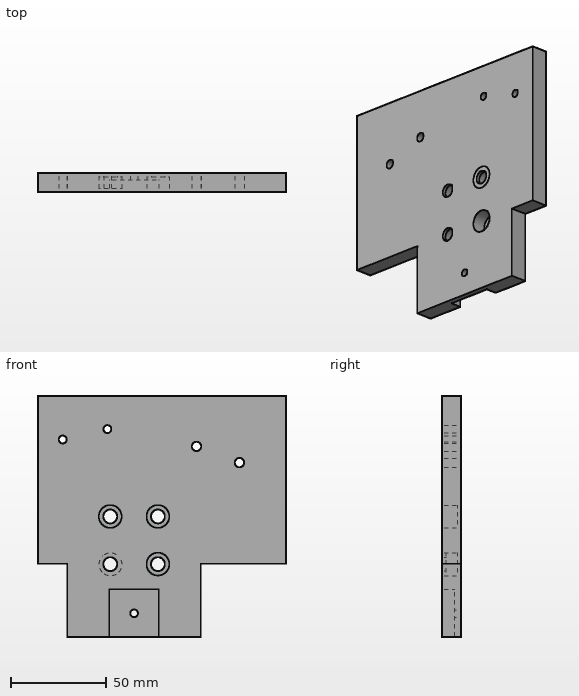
import cadquery as cq

width = 130.0
height = 126.4
thickness = 10.0
tab_left = 15.3
tab_width = 70.1
tab_height = 38.4
tab_center = tab_left + tab_width / 2

pocket_width = 26.0
pocket_height = 25.0
pocket_depth = 6.5
pocket_hole_diameter = 3.9

bolt_spacing = 25.0
bolt_diameter = 7.2
counterbore_diameter = 12.0
counterbore_floor = 2.0
counterbore_depth = thickness - counterbore_floor
bolt_left = tab_center - bolt_spacing / 2
bolt_right = tab_center + bolt_spacing / 2
bolt_low = 38.2
bolt_high = bolt_low + bolt_spacing
front_counterbores = [(bolt_left, bolt_high), (bolt_right, bolt_high), (bolt_right, bolt_low)]
back_counterbore = (bolt_left, bolt_low)

ring_point = (bolt_left, bolt_high)

small_hole_diameter = 4.0
small_holes = [(13.0, 103.5), (36.4, 109.0)]
large_hole_diameter = 4.8
large_holes = [(83.1, 99.8), (105.5, 91.4)]


def box(left, bottom, size_x, size_y, size_z):
    """Block standing on the front face plane and reaching back from it."""
    return cq.Workplane("XY").box(size_x, size_y, size_z, centered=False).translate((left, 0, bottom))


def bores(points, diameter, depth):
    """Cylinders reaching back from the front face at the given (X, Z) points."""
    return cq.Workplane("XZ").pushPoints(points).circle(diameter / 2).extrude(-depth)


def make_plate():
    panel = box(0, tab_height, width, thickness, height - tab_height)
    plate = panel.union(box(tab_left, 0, tab_width, thickness, tab_height))

    pocket_left = tab_center - pocket_width / 2
    plate = plate.cut(box(pocket_left, 0, pocket_width, pocket_depth, pocket_height))
    pocket_hole = [(tab_center, pocket_height / 2)]
    plate = plate.cut(bores(pocket_hole, pocket_hole_diameter, thickness))

    bolt_holes = front_counterbores + [back_counterbore]
    plate = plate.cut(bores(bolt_holes, bolt_diameter, thickness))
    plate = plate.cut(bores(front_counterbores, counterbore_diameter, counterbore_depth))
    back_bore = bores([back_counterbore], counterbore_diameter, counterbore_depth)
    plate = plate.cut(back_bore.translate((0, counterbore_floor, 0)))

    plate = plate.cut(bores([ring_point], counterbore_diameter, thickness))

    plate = plate.cut(bores(small_holes, small_hole_diameter, thickness))
    return plate.cut(bores(large_holes, large_hole_diameter, thickness))


def make_ring():
    disc = bores([ring_point], counterbore_diameter, counterbore_floor)
    ring = disc.cut(bores([ring_point], bolt_diameter, counterbore_floor))
    return ring.translate((0, counterbore_depth, 0))


plate = make_plate()
ring = make_ring()
result = cq.Compound.makeCompound([plate.val(), ring.val()])